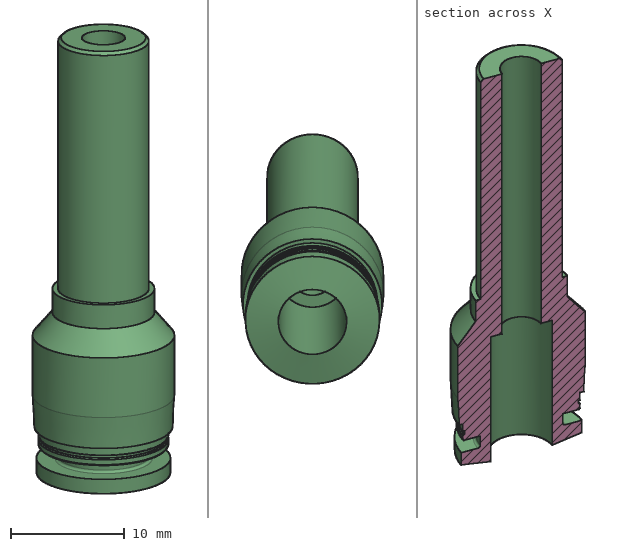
import cadquery as cq

total_length = 40.9

stem_diameter = 8.0
collar_diameter = 9.0
body_diameter = 12.5
body_end_diameter = 12.23
ring_diameter = 11.5
neck_diameter = 8.1
flange_diameter = 11.8
stem_bore_diameter = 3.8
socket_diameter = 6.0

flange_bottom = 0.5
flange_top = 1.85
ring_bottom = 3.03
groove_bottom = 3.72
groove_top = 4.0
body_bottom = 4.8
taper_top = 7.75
shoulder_bottom = 13.25
collar_bottom = 15.38
collar_top = 17.6
socket_top = shoulder_bottom

stem_chamfer = 0.3
ring_chamfer = 0.12
groove_depth = 0.15
neck_fillet = 0.25


def cylinder(diameter, bottom, top):
    return cq.Workplane("XY").workplane(offset=bottom).circle(diameter / 2).extrude(top - bottom)


def cone(bottom_diameter, bottom, top_diameter, top):
    return (
        cq.Workplane("XY")
        .workplane(offset=bottom)
        .circle(bottom_diameter / 2)
        .workplane(offset=top - bottom)
        .circle(top_diameter / 2)
        .loft(ruled=True)
    )


button = cone(socket_diameter, 0, flange_diameter, flange_bottom)
button = button.union(cylinder(flange_diameter, flange_bottom, flange_top))
button = button.union(cylinder(neck_diameter, flange_top, ring_bottom))
neck_root = cq.selectors.BoxSelector(
    (-neck_diameter, -neck_diameter, flange_top - neck_fillet / 2),
    (neck_diameter, neck_diameter, flange_top + neck_fillet / 2),
)
button = button.edges(neck_root).edges(cq.selectors.RadiusNthSelector(0)).fillet(neck_fillet)

lower_ring = cylinder(ring_diameter, ring_bottom, groove_bottom).edges().chamfer(ring_chamfer)
groove_floor = cylinder(ring_diameter - 2 * groove_depth, groove_bottom, groove_top)
upper_ring = cylinder(ring_diameter, groove_top, body_bottom)
ring = lower_ring.union(groove_floor).union(upper_ring)

body = cone(body_end_diameter, body_bottom, body_diameter, taper_top)
body = body.union(cylinder(body_diameter, taper_top, shoulder_bottom))
body = body.union(cone(body_diameter, shoulder_bottom, collar_diameter, collar_bottom))

collar = cylinder(collar_diameter, collar_bottom, collar_top)
stem = cylinder(stem_diameter, collar_top, total_length).edges(">Z").chamfer(stem_chamfer)

stem_bore = cylinder(stem_bore_diameter, 0, total_length)
socket = cylinder(socket_diameter, 0, socket_top)

outside = button.union(ring).union(body).union(collar).union(stem)
result = outside.cut(stem_bore).cut(socket)